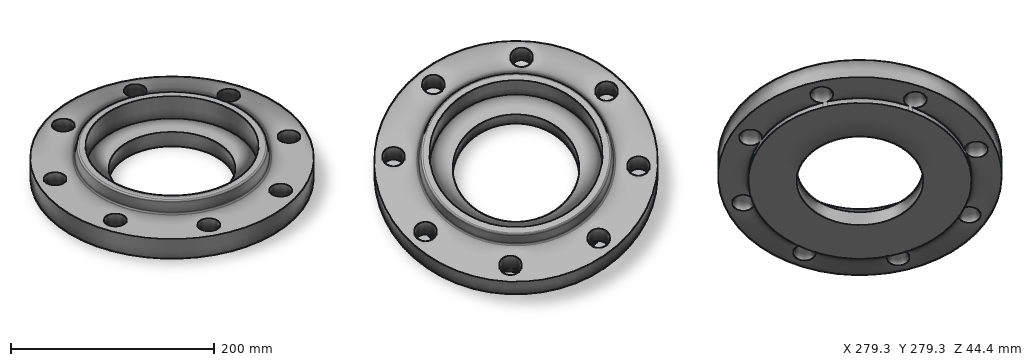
import cadquery as cq
import math

flange_diameter = 279.3
flange_thickness = 23.7
raised_face_diameter = 219.5
raised_face_height = 6.5

hub_height = 14.2
hub_top_diameter = 187.1
hub_taper_angle = 10.0
hub_edge_radius = 2.0
hub_root_radius = 2.0

socket_diameter = 170.5
socket_depth = 26.8
bore_diameter = 124.5

bolt_count = 8
bolt_circle_diameter = 241.3
bolt_hole_diameter = 22.3

flange_top = raised_face_height + flange_thickness
total_height = flange_top + hub_height
hub_base_diameter = hub_top_diameter + 2 * hub_height * math.tan(math.radians(hub_taper_angle))


def make_body():
    """Raised face, flange disc and tapered hub, with the hub edges rounded."""
    raised_face = cq.Workplane("XY").circle(raised_face_diameter / 2).extrude(raised_face_height)
    disc = (
        cq.Workplane("XY")
        .workplane(offset=raised_face_height)
        .circle(flange_diameter / 2)
        .extrude(flange_thickness)
    )
    hub = (
        cq.Workplane("XY")
        .workplane(offset=flange_top)
        .circle(hub_base_diameter / 2)
        .extrude(hub_height, taper=hub_taper_angle)
    )
    body = raised_face.union(disc).union(hub)
    body = body.faces(">Z").edges().fillet(hub_edge_radius)
    root_half_width = hub_base_diameter / 2 + hub_root_radius
    root_zone = cq.selectors.BoxSelector(
        (-root_half_width, -root_half_width, flange_top - hub_root_radius),
        (root_half_width, root_half_width, flange_top + hub_root_radius),
        boundingbox=True,
    )
    return body.edges(root_zone).fillet(hub_root_radius)


def make_opening():
    """Through bore with the socket above it."""
    bore = cq.Workplane("XY").circle(bore_diameter / 2).extrude(total_height)
    socket = (
        cq.Workplane("XY")
        .workplane(offset=total_height - socket_depth)
        .circle(socket_diameter / 2)
        .extrude(socket_depth)
    )
    return bore.union(socket)


def make_bolt_holes():
    """Ring of through holes, the first one on the +X axis."""
    return (
        cq.Workplane("XY")
        .polarArray(bolt_circle_diameter / 2, 0, 360, bolt_count)
        .circle(bolt_hole_diameter / 2)
        .extrude(flange_top)
    )


result = make_body().cut(make_opening()).cut(make_bolt_holes())